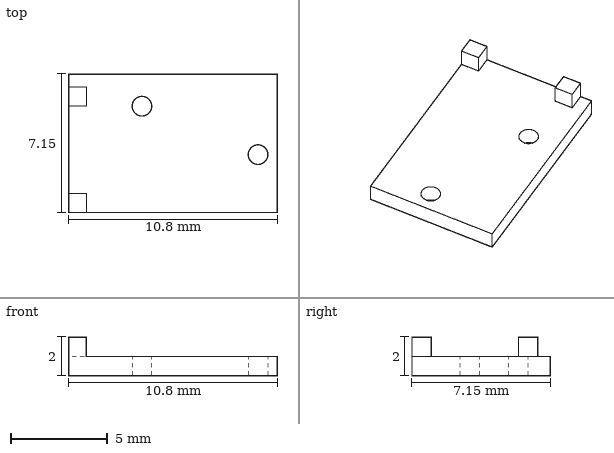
import cadquery as cq

plate_length = 10.79
plate_width = 7.15
total_height = 2.0
plate_thickness = total_height / 2

post_length = 0.92
post_width = 1.0
post_start_ys = (0.0, 5.5)

hole_diameter = 1.0
hole_centers = [(3.79, 5.5), (9.79, 3.0)]


def make_plate():
    return cq.Workplane("XY").box(plate_length, plate_width, plate_thickness, centered=False)


def make_post(start_y):
    """Full-height post, so that it overlaps the plate beneath it."""
    post = cq.Workplane("XY").box(post_length, post_width, total_height, centered=False)
    return post.translate((0, start_y, 0))


def make_holes():
    return (
        cq.Workplane("XY")
        .pushPoints(hole_centers)
        .circle(hole_diameter / 2)
        .extrude(plate_thickness)
    )


result = make_plate()
for start_y in post_start_ys:
    result = result.union(make_post(start_y))
result = result.cut(make_holes())